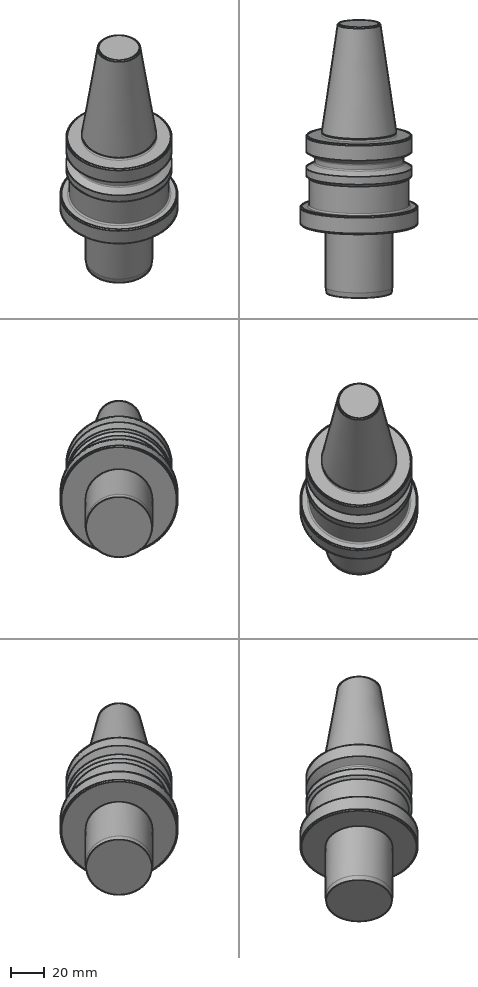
import cadquery as cq
import math

total_height = 162.4
collar_bottom = 41.1
collar_top = 52.1
flange_bottom = 70.8
groove_lower_edge = 75.5
groove_upper_edge = 85.3
flange_top = 95.0
gauge_height = 97.1

shank_radius = 40.0 / 2
collar_radius = 70.0 / 2
body_radius = 59.5 / 2
flange_radius = 63.0 / 2
groove_radius = 53.0 / 2
gauge_radius = 44.5 / 2
neck_radius = 43.2 / 2

shank_chamfer_height = 3.4
shank_chamfer_width = 0.5
edge_chamfer = 0.8
body_fillet = 1.0
groove_fillet = 1.0
groove_flank_angle = 30
flange_underside_height = 1.6
gauge_land = 0.3
neck_fillet = 0.8
neck_chamfer = gauge_radius - neck_radius
tip_chamfer = 0.8

groove_depth = flange_radius - groove_radius
groove_flank_height = groove_depth * math.tan(math.radians(groove_flank_angle))

taper_ratio = 7 / 24
tip_radius = gauge_radius - taper_ratio * (total_height - gauge_height) / 2
tip_shoulder_radius = tip_radius + taper_ratio * tip_chamfer / 2

shank = [
    (0, 0),
    (shank_radius - shank_chamfer_width, 0),
    (shank_radius, shank_chamfer_height),
    (shank_radius, collar_bottom),
]
collar = [
    (collar_radius - edge_chamfer, collar_bottom),
    (collar_radius, collar_bottom + edge_chamfer),
    (collar_radius, collar_top - edge_chamfer),
    (collar_radius - edge_chamfer, collar_top),
    (body_radius + body_fillet, collar_top),
]
flange = [
    (body_radius, flange_bottom - flange_underside_height),
    (flange_radius, flange_bottom),
    (flange_radius, groove_lower_edge),
    (groove_radius, groove_lower_edge + groove_flank_height),
    (groove_radius, groove_upper_edge - groove_flank_height),
    (flange_radius, groove_upper_edge),
    (flange_radius, flange_top - edge_chamfer),
    (flange_radius - edge_chamfer, flange_top),
    (neck_radius + neck_fillet, flange_top),
]
taper = [
    (neck_radius, gauge_height - gauge_land - neck_chamfer),
    (gauge_radius, gauge_height - gauge_land),
    (gauge_radius, gauge_height),
    (tip_shoulder_radius, total_height - tip_chamfer),
    (tip_shoulder_radius - tip_chamfer, total_height),
    (0, total_height),
]

half_section = cq.Workplane("XZ").polyline(shank + collar)
half_section = half_section.radiusArc((body_radius, collar_top + body_fillet), body_fillet)
for point in flange:
    half_section = half_section.lineTo(*point)
half_section = half_section.radiusArc((neck_radius, flange_top + neck_fillet), neck_fillet)
for point in taper:
    half_section = half_section.lineTo(*point)

holder = half_section.close().revolve(360, (0, 0, 0), (0, 1, 0))

groove_corners = cq.selectors.BoxSelector(
    (-collar_radius, -collar_radius, groove_lower_edge + groove_flank_height / 2),
    (collar_radius, collar_radius, groove_upper_edge - groove_flank_height / 2),
)
result = holder.edges(groove_corners).edges("%CIRCLE").fillet(groove_fillet)